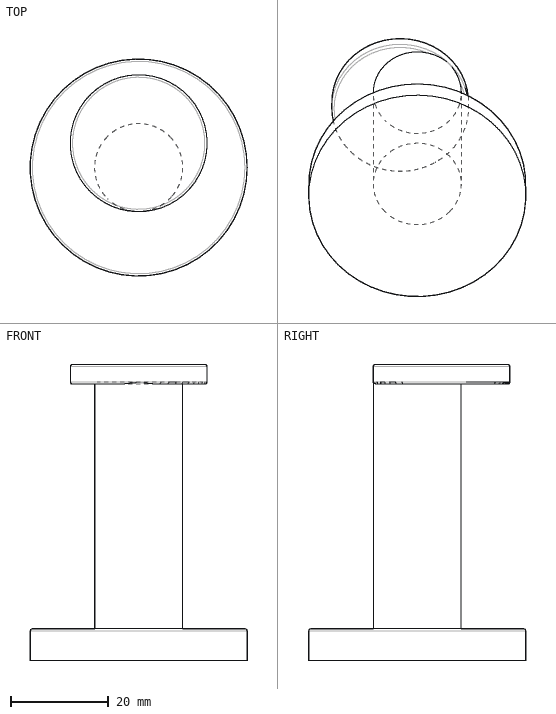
import cadquery as cq

total_height = 60.7
base_diameter = 44.5
base_height = 6.55
stem_diameter = 18.0
cap_diameter = 28.0
cap_height = 4.05
edge_round = 0.5
rim_overhang = 0.03

cap_offset = (cap_diameter - stem_diameter) / 2 - rim_overhang
cap_bottom = total_height - cap_height

base = cq.Workplane("XY").circle(base_diameter / 2).extrude(base_height)
base = base.faces(">Z").edges().fillet(edge_round)

stem_top = cap_bottom + cap_height / 2
stem = cq.Workplane("XY").circle(stem_diameter / 2).extrude(stem_top)

cap = cq.Workplane("XY", origin=(0, cap_offset, cap_bottom)).circle(cap_diameter / 2).extrude(cap_height)
cap = cap.faces("<Z or >Z").edges().fillet(edge_round)

result = base.union(stem).union(cap)